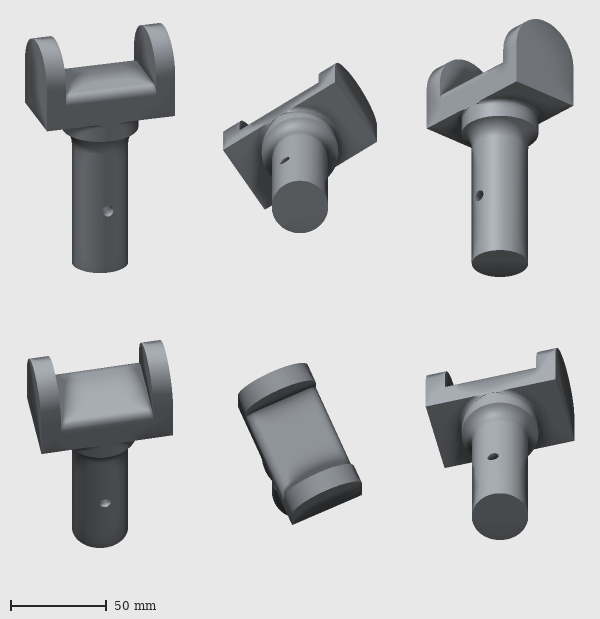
import cadquery as cq
import math

height = 130.0
width = 40.0
length = 70.0

yoke_bottom = 87.0
cheek_thickness = 10.4
saddle_top = 105.0
saddle_edge_radius = 5.0

shaft_diameter = 29.5
shaft_radius = shaft_diameter / 2
collar_radius = width / 2
collar_bottom = 77.0
flare_radius = 10.0
root_fillet_radius = 2.0

pin_hole_diameter = 6.0
pin_hole_height = 35.0


def make_cheek_bar():
    """Round-topped bar running the full length of the yoke."""
    half_width = width / 2
    shoulder = height - half_width
    return (
        cq.Workplane("XZ")
        .moveTo(-half_width, yoke_bottom)
        .lineTo(half_width, yoke_bottom)
        .lineTo(half_width, shoulder)
        .threePointArc((0, height), (-half_width, shoulder))
        .close()
        .extrude(length / 2, both=True)
    )


def make_yoke():
    """Cheeks at both ends, with a lower, round-edged saddle between them."""
    gap = length - 2 * cheek_thickness
    clearance = cq.Workplane("XY").box(width, gap, height)
    cheeks = make_cheek_bar().cut(clearance.translate((0, 0, yoke_bottom + height / 2)))
    saddle_height = saddle_top - yoke_bottom
    saddle = (
        cq.Workplane("XY", origin=(0, 0, yoke_bottom))
        .box(width, gap, saddle_height, centered=(True, True, False))
        .edges("|Y and >Z")
        .fillet(saddle_edge_radius)
    )
    return cheeks.union(saddle)


def make_stem():
    """Shaft, flare tangent to the shaft, and collar, turned about Z."""
    flare_axis_radius = shaft_radius + flare_radius
    flare_angle = math.acos((flare_axis_radius - collar_radius) / flare_radius)
    flare_bottom = collar_bottom - flare_radius * math.sin(flare_angle)
    flare_middle = (
        flare_axis_radius - flare_radius * math.cos(flare_angle / 2),
        flare_bottom + flare_radius * math.sin(flare_angle / 2),
    )
    return (
        cq.Workplane("XZ")
        .lineTo(shaft_radius, 0)
        .lineTo(shaft_radius, flare_bottom)
        .threePointArc(flare_middle, (collar_radius, collar_bottom))
        .lineTo(collar_radius, yoke_bottom)
        .lineTo(0, yoke_bottom)
        .close()
        .revolve(360, (0, 0, 0), (0, 1, 0))
    )


def make_root_fillet():
    """Concave ring between collar and yoke, trimmed flush with the yoke sides.

    The ring fades out to nothing where the collar is tangent to the yoke sides.
    """
    outer_radius = collar_radius + root_fillet_radius
    fillet_bottom = yoke_bottom - root_fillet_radius
    arc_offset = root_fillet_radius * math.sqrt(0.5)
    ring = (
        cq.Workplane("XZ")
        .moveTo(0, fillet_bottom)
        .lineTo(collar_radius, fillet_bottom)
        .threePointArc(
            (outer_radius - arc_offset, fillet_bottom + arc_offset),
            (outer_radius, yoke_bottom),
        )
        .lineTo(0, yoke_bottom)
        .close()
        .revolve(360, (0, 0, 0), (0, 1, 0))
    )
    fade_length = math.sqrt(outer_radius**2 - collar_radius**2)
    fade = (
        cq.Workplane("YZ")
        .moveTo(-fade_length, fillet_bottom)
        .lineTo(0, yoke_bottom)
        .lineTo(fade_length, fillet_bottom)
        .close()
        .extrude(width, both=True)
    )
    yoke_envelope = cq.Workplane("XY").box(width, length, 2 * height)
    return ring.intersect(yoke_envelope).cut(fade)


pin_hole = (
    cq.Workplane("YZ")
    .center(0, pin_hole_height)
    .circle(pin_hole_diameter / 2)
    .extrude(width, both=True)
)

result = make_yoke().union(make_stem()).union(make_root_fillet()).cut(pin_hole)